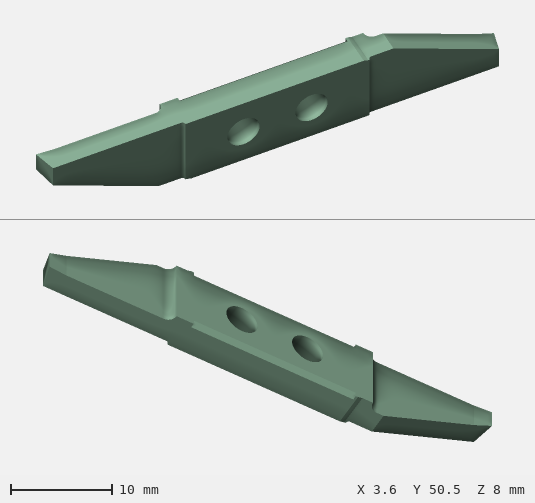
import cadquery as cq
import math

THICKNESS = 3.6
LENGTH = 50.5
HEIGHT = 8.0

LAND_HALF_LENGTH = 9.5
STEP_DROP = 0.15
STEP_LENGTH = 0.5
TAPER_START = 12.95
TAPER_ANGLE = 25.0

FRONT_RELIEF = 0.93
BACK_RELIEF = 0.35
FRONT_SHOULDER = 12.15
BACK_SHOULDER = 10.5
TIP_LENGTH = 2.0
TIP_FLARE = 0.15
TIP_ANGLE = 15.0

BEVEL_LENGTH = 18.5
BEVEL_SIZE = 0.5
HOLE_DIAMETER = 3.55
HOLE_SPACING = 7.5

FRONT_X = -THICKNESS / 2
BACK_X = THICKNESS / 2
TOP_Z = HEIGHT / 2
END_Y = LENGTH / 2


def side_body():
    """Y-Z outline through the full thickness; a half turn about X maps it onto itself."""
    taper_drop = (END_Y - TAPER_START) * math.tan(math.radians(TAPER_ANGLE))
    low_z = TOP_Z - STEP_DROP
    half = [
        (-END_Y, TOP_Z),
        (LAND_HALF_LENGTH, TOP_Z),
        (LAND_HALF_LENGTH + STEP_LENGTH, low_z),
        (TAPER_START, low_z),
        (END_Y, low_z - taper_drop),
    ]
    turned = [(-y, -z) for y, z in half]
    outline = cq.Workplane("YZ").polyline(half + turned).close()
    return outline.extrude(THICKNESS / 2, both=True)


def plan_body():
    """X-Y outline through the full height, mirrored about the X axis."""
    wing_front = FRONT_X + FRONT_RELIEF
    wing_back = BACK_X - BACK_RELIEF
    tip_front = wing_front - TIP_FLARE
    end_slant = (wing_back - tip_front) * math.tan(math.radians(TIP_ANGLE))
    on_arc = math.sqrt(0.5)
    front_middle = (
        FRONT_X + FRONT_RELIEF * on_arc,
        FRONT_SHOULDER - FRONT_RELIEF * on_arc,
    )
    back_middle = (
        BACK_X - BACK_RELIEF * on_arc,
        BACK_SHOULDER - BACK_RELIEF * on_arc,
    )
    half = (
        cq.Workplane("XY")
        .moveTo(FRONT_X, 0)
        .lineTo(FRONT_X, FRONT_SHOULDER - FRONT_RELIEF)
        .threePointArc(front_middle, (wing_front, FRONT_SHOULDER))
        .lineTo(wing_front, END_Y - TIP_LENGTH)
        .lineTo(tip_front, END_Y)
        .lineTo(wing_back, END_Y - end_slant)
        .lineTo(wing_back, BACK_SHOULDER)
        .threePointArc(back_middle, (BACK_X, BACK_SHOULDER - BACK_RELIEF))
        .lineTo(BACK_X, 0)
        .close()
        .extrude(HEIGHT / 2, both=True)
    )
    return half.union(half.mirror("XZ")).clean()


def bevel_cutter(side):
    """Triangular prism along the top (side=1) or bottom (side=-1) edge of the -X face."""
    edge_z = side * TOP_Z
    corner = [
        (FRONT_X, edge_z),
        (FRONT_X + BEVEL_SIZE, edge_z),
        (FRONT_X, edge_z - side * BEVEL_SIZE),
    ]
    return cq.Workplane("XZ").polyline(corner).close().extrude(BEVEL_LENGTH / 2, both=True)


def mounting_holes():
    """Two plain holes through the thickness."""
    centres = [(-HOLE_SPACING / 2, 0), (HOLE_SPACING / 2, 0)]
    holes = cq.Workplane("YZ").pushPoints(centres).circle(HOLE_DIAMETER / 2)
    return holes.extrude(THICKNESS, both=True)


result = side_body().intersect(plan_body())
for edge_side in (1, -1):
    result = result.cut(bevel_cutter(edge_side))
result = result.cut(mounting_holes())